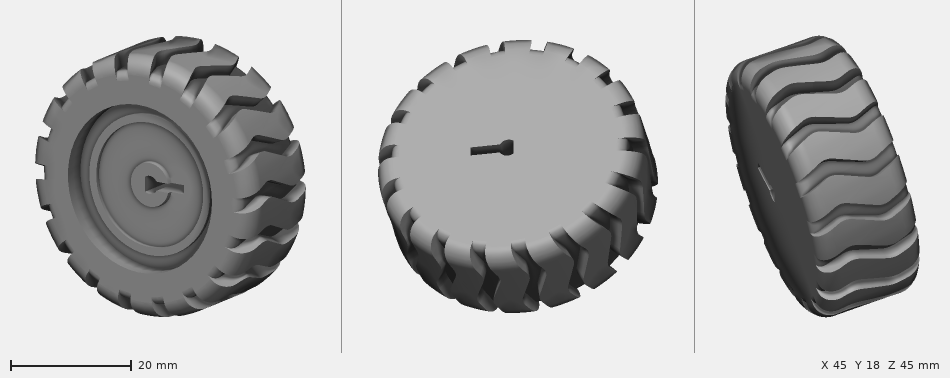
import cadquery as cq
import math

tyre_radius = 22.5
tyre_width = 18.0
shoulder_radius = 3.0

groove_count = 18
groove_depth = 2.5
groove_width = 2.9
groove_phase = 2.8
floor_shoulder_radius = 1.55
zigzag_slope = 0.42
bend_position = 3.55
bend_radius = 3.0
cutter_margin = 0.45
points_per_stretch = 5

recess_radius = 14.5
recess_depth = 3.7
hub_step = 0.8
ring_outer_radius = 12.15
ring_inner_radius = 10.75
boss_base_radius = 3.9
boss_top_radius = 3.8

bore_radius = 1.58
bore_flat_distance = 0.9
slot_width = 1.58
slot_end = 6.35

face_y = -tyre_width / 2
floor_radius = tyre_radius - groove_depth

slope_angle = math.atan(zigzag_slope)
bend_half_span = bend_radius * math.sin(slope_angle)


def cylinder_y(radius, y_start, length):
    """Solid cylinder on the axle, growing from y_start toward +Y."""
    return cq.Workplane("XZ", origin=(0, y_start, 0)).circle(radius).extrude(-length)


def rounded_disc(radius, edge_radius):
    """Disc of the full tyre width with both rims rounded."""
    return cylinder_y(radius, face_y, tyre_width).edges("%CIRCLE").fillet(edge_radius)


def zigzag_shift(y):
    """Circumferential shift of the groove centre line, measured at the tyre surface."""
    distance = abs(y)
    corner_shift = zigzag_slope * bend_position
    if abs(distance - bend_position) < bend_half_span:
        arc_centre = corner_shift - bend_radius / math.cos(slope_angle)
        shift = arc_centre + math.sqrt(bend_radius**2 - (distance - bend_position) ** 2)
    else:
        shift = corner_shift - zigzag_slope * abs(distance - bend_position)
    return -shift if y > 0 else shift


def wall_edge(radius, side, y_start, y_end):
    """Edge of one groove wall at the given radius; side is -1 or +1."""
    points = []
    for i in range(points_per_stretch):
        y = y_start + (y_end - y_start) * i / (points_per_stretch - 1)
        arc_length = zigzag_shift(y) + side * groove_width / 2
        angle = math.radians(groove_phase) + arc_length / tyre_radius
        points.append(cq.Vector(radius * math.cos(angle), y, radius * math.sin(angle)))
    return cq.Edge.makeSpline(points)


def end_cap(corner_points):
    """Flat face closing one end of the groove cutter."""
    return cq.Face.makeFromWires(cq.Wire.makePolygon(corner_points, close=True))


def groove_cutter():
    """Zigzag bar with radial walls, built stretch by stretch across the tyre."""
    bottom = floor_radius - floor_shoulder_radius - cutter_margin
    top = tyre_radius + cutter_margin
    corners = [(bottom, -1), (top, -1), (top, 1), (bottom, 1)]

    outer_end = tyre_width / 2 + cutter_margin
    half = [0.0, bend_position - bend_half_span, bend_position + bend_half_span, outer_end]
    stations = [-y for y in reversed(half[1:])] + half

    faces = []
    for y_start, y_end in zip(stations, stations[1:]):
        edges = [wall_edge(radius, side, y_start, y_end) for radius, side in corners]
        for i, edge in enumerate(edges):
            faces.append(cq.Face.makeRuledSurface(edge, edges[(i + 1) % len(edges)]))
        if y_start == stations[0]:
            faces.append(end_cap([edge.startPoint() for edge in edges]))
        if y_end == stations[-1]:
            faces.append(end_cap([edge.endPoint() for edge in edges]))
    return cq.Solid.makeSolid(cq.Shell.makeShell(faces))


def tread():
    """Tyre with grooves down to a smaller rounded disc."""
    axis_start = cq.Vector(0, 0, 0)
    axis_end = cq.Vector(0, 1, 0)
    cutter = groove_cutter()
    cutters = [
        cutter.rotate(axis_start, axis_end, i * 360 / groove_count) for i in range(groove_count)
    ]
    lugs = rounded_disc(tyre_radius, shoulder_radius).val().cut(*cutters)
    return rounded_disc(floor_radius, floor_shoulder_radius).union(cq.Workplane(lugs))


def hub_relief():
    """Material removed from the -Y face around the ring and the boss."""
    floor_y = face_y + recess_depth
    ring_top_y = floor_y - hub_step
    ring = cylinder_y(ring_outer_radius, ring_top_y, hub_step)
    ring = ring.cut(cylinder_y(ring_inner_radius, ring_top_y, hub_step))
    boss = (
        cq.Workplane("XZ", origin=(0, floor_y, 0))
        .circle(boss_base_radius)
        .workplane(offset=hub_step)
        .circle(boss_top_radius)
        .loft()
    )
    return cylinder_y(recess_radius, face_y, recess_depth).cut(ring).cut(boss)


def axle_opening():
    """Flatted bore and its slot, through the full width."""
    bore_box_length = bore_flat_distance + bore_radius
    bore = cylinder_y(bore_radius, face_y, tyre_width).intersect(
        cq.Workplane("XY")
        .box(bore_box_length, tyre_width, 2 * bore_radius, centered=(False, True, True))
        .translate((-bore_flat_distance, 0, 0))
    )
    slot = cq.Workplane("XY").box(slot_end, tyre_width, slot_width, centered=(False, True, True))
    return bore.union(slot)


result = tread().cut(hub_relief()).cut(axle_opening())